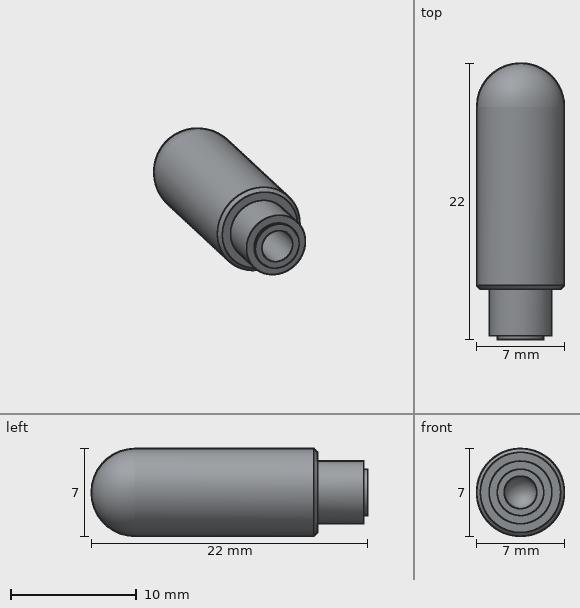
import cadquery as cq
import math

total_length = 22.0
body_diameter = 7.0
neck_diameter = 5.0
tip_diameter = 3.7
bore_diameter = 2.6

tip_length = 0.3
neck_end = 4.0
shoulder_chamfer = 0.3

body_radius = body_diameter / 2
neck_radius = neck_diameter / 2
tip_radius = tip_diameter / 2
bore_radius = bore_diameter / 2
dome_start = total_length - body_radius
bore_round_start = dome_start
bore_depth = bore_round_start + bore_radius


def arc_middle(radius, start):
    """Halfway point of a quarter arc that runs from full radius to the axis."""
    offset = radius * math.sqrt(0.5)
    return (offset, start + offset)


def revolve_about_y(profile):
    return profile.close().revolve(360, (0, 0, 0), (0, 1, 0))


outer = revolve_about_y(
    cq.Workplane("XY")
    .lineTo(tip_radius, 0)
    .lineTo(tip_radius, tip_length)
    .lineTo(neck_radius, tip_length)
    .lineTo(neck_radius, neck_end)
    .lineTo(body_radius - shoulder_chamfer, neck_end)
    .lineTo(body_radius, neck_end + shoulder_chamfer)
    .lineTo(body_radius, dome_start)
    .threePointArc(arc_middle(body_radius, dome_start), (0, total_length))
)

bore = revolve_about_y(
    cq.Workplane("XY")
    .lineTo(bore_radius, 0)
    .lineTo(bore_radius, bore_round_start)
    .threePointArc(arc_middle(bore_radius, bore_round_start), (0, bore_depth))
)

result = outer.cut(bore)